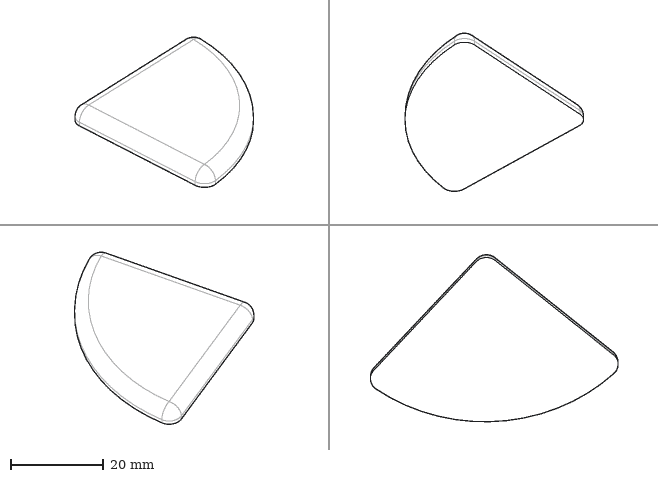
import cadquery as cq
import math

sector_radius = 40.0
thickness = 4.0
edge_radius = 3.0


def quarter_disc():
    """Flat quarter disc with its square corner at the origin."""
    arc_middle = sector_radius * math.cos(math.pi / 4)
    return (
        cq.Workplane("XY")
        .lineTo(sector_radius, 0)
        .threePointArc((arc_middle, arc_middle), (0, sector_radius))
        .close()
        .extrude(thickness)
    )


def round_edges(body):
    """Round the upright corners and the top rim together, so they meet in spherical corners."""
    return body.edges("|Z or >Z").fillet(edge_radius)


result = round_edges(quarter_disc())